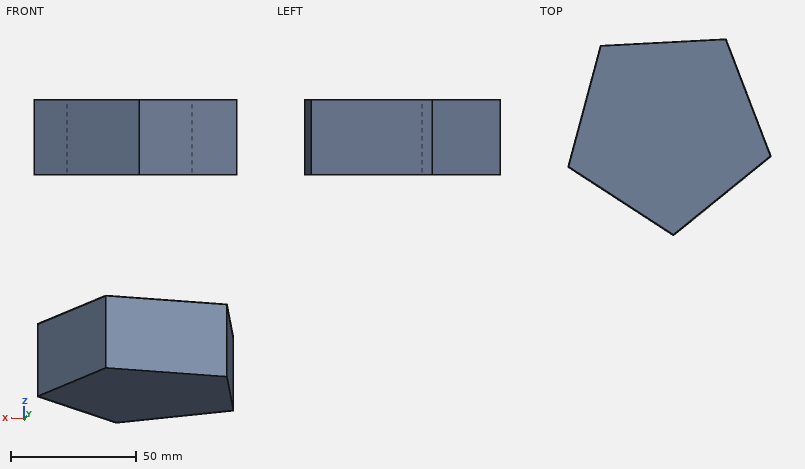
import cadquery as cq
import math

width_x = 80.8
height = 30.0
side_count = 5
turn_angle = 3.0

diagonal = width_x / math.cos(math.radians(turn_angle))
circumradius = diagonal / (2 * math.sin(2 * math.pi / side_count))

first_corner_angle = -90.0 + turn_angle


def corner(index):
    angle = math.radians(first_corner_angle + index * 360.0 / side_count)
    return (circumradius * math.cos(angle), circumradius * math.sin(angle))


corners = [corner(index) for index in range(side_count)]
result = cq.Workplane("XY").polyline(corners).close().extrude(height)